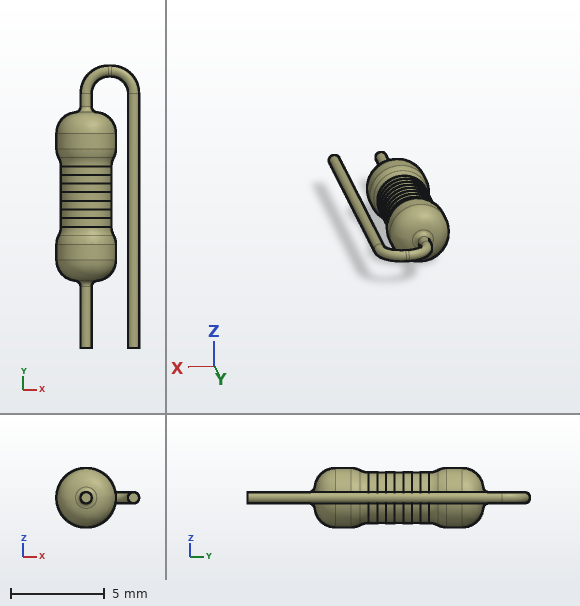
import cadquery as cq
import math

wire_radius = 0.3
lead_spacing = 2.54
bend_radius = 1.2
overall_length = 15.1

body_middle = 8.1
cap_radius = 1.6
waist_radius = 1.36
waist_half_length = 1.62
cap_start = 2.55
cap_end = 3.38
dome_radius = 1.13
neck_fillet_end = 4.8

band_radius = 2.73 / 2
band_count = 4
band_width = 2 * waist_half_length / (2 * band_count - 1)


def build_cap():
    """Cap on the +Y side, from the end of the waist to the wire."""
    step = cap_radius - waist_radius
    run = cap_start - waist_half_length
    turn = 2 * math.atan2(step, run)
    arc_radius = run / (2 * math.sin(turn))
    sag = arc_radius * (1 - math.cos(turn / 2))
    half_run = arc_radius * math.sin(turn / 2)
    inflection = ((waist_radius + cap_radius) / 2, (waist_half_length + cap_start) / 2)

    dome_center = cap_radius - dome_radius
    rise = neck_fillet_end - cap_end
    offset = dome_center - wire_radius
    fillet_radius = (rise**2 + offset**2 - dome_radius**2) / (2 * (dome_radius + offset))
    fillet_center = wire_radius + fillet_radius
    contact_angle = math.atan2(rise, fillet_center - dome_center)

    def dome_point(angle):
        return (dome_center + dome_radius * math.cos(angle), cap_end + dome_radius * math.sin(angle))

    def fillet_point(angle):
        return (
            fillet_center - fillet_radius * math.cos(angle),
            neck_fillet_end - fillet_radius * math.sin(angle),
        )

    return (
        cq.Workplane("XY")
        .moveTo(0, waist_half_length)
        .lineTo(waist_radius, waist_half_length)
        .threePointArc((waist_radius + sag, waist_half_length + half_run), inflection)
        .threePointArc((cap_radius - sag, cap_start - half_run), (cap_radius, cap_start))
        .lineTo(cap_radius, cap_end)
        .threePointArc(dome_point(contact_angle / 2), dome_point(contact_angle))
        .threePointArc(fillet_point(contact_angle / 2), (wire_radius, neck_fillet_end))
        .lineTo(0, neck_fillet_end)
        .close()
        .revolve(360, (0, 0), (0, 1))
    )


def build_body():
    """Waist with its bands, between two mirrored caps."""
    cap = build_cap()
    waist = cq.Workplane("XZ").circle(waist_radius).extrude(waist_half_length, both=True)
    body = waist.union(cap).union(cap.mirror("XZ"))
    for index in range(band_count):
        start = -waist_half_length + 2 * index * band_width
        band = cq.Workplane("XZ", origin=(0, start, 0)).circle(band_radius).extrude(-band_width)
        body = body.union(band)
    return body.translate((0, body_middle, 0))


def build_wire():
    """Straight lead through the body, hooked back into a parallel lead."""
    bend_start = overall_length - wire_radius - bend_radius
    bend_top = bend_start + bend_radius
    diagonal = bend_radius * math.sqrt(0.5)
    far_center = lead_spacing - bend_radius
    path = (
        cq.Workplane("XY")
        .lineTo(0, bend_start)
        .threePointArc((bend_radius - diagonal, bend_start + diagonal), (bend_radius, bend_top))
        .lineTo(far_center, bend_top)
        .threePointArc((far_center + diagonal, bend_start + diagonal), (lead_spacing, bend_start))
        .lineTo(lead_spacing, 0)
    )
    return cq.Workplane("XZ").circle(wire_radius).sweep(path)


result = build_body().union(build_wire())